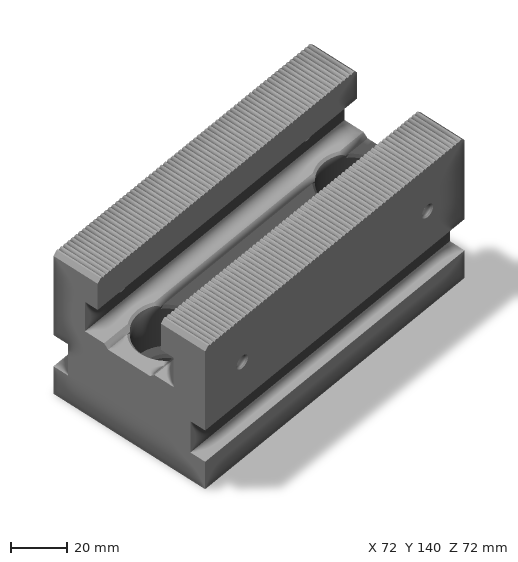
import cadquery as cq

length = 140.0
width = 72.0
height = 72.0

side_groove_depth = 7.0
side_groove_bottom = 14.0
side_groove_top = 30.0

slot_mouth_width = 30.0
slot_wide_width = 42.0
slot_floor = 42.0
slot_lip = 57.0
relief_depth = 2.0
relief_floor_width = 20.0
relief_floor = slot_floor - relief_depth

pitch_count = 70
pitch = length / pitch_count
serration_depth = 0.65
serration_half_width = serration_depth
end_bevel = pitch / 2 + serration_half_width

hole_spacing = 100.0
hole_places = (-hole_spacing / 2, hole_spacing / 2)
bolt_diameter = 16.0
counterbore_diameter = 26.0
counterbore_depth = 20.0
counterbore_floor = relief_floor - counterbore_depth
bolt_chamfer = 1.0
cross_diameter = 5.0
cross_chamfer = 0.5
cross_height = (slot_floor + slot_lip) / 2


def block_profile():
    """Closed XZ outline, extruded along the full length."""
    side = width / 2
    groove = side - side_groove_depth
    relief = relief_floor_width / 2
    right_half = [
        (side, 0),
        (side, side_groove_bottom),
        (groove, side_groove_bottom),
        (groove, side_groove_top),
        (side, side_groove_top),
        (side, height),
        (slot_mouth_width / 2, height),
        (slot_mouth_width / 2, slot_lip),
        (slot_wide_width / 2, slot_lip),
        (slot_wide_width / 2, slot_floor),
        (relief + relief_depth, slot_floor),
        (relief, relief_floor),
    ]
    left_half = [(-x, z) for x, z in reversed(right_half)]
    profile = cq.Workplane("XZ").polyline(right_half + left_half).close()
    return profile.extrude(length / 2, both=True)


def serration_envelope():
    """Block whose top carries the V serrations and the two end bevels."""
    half = length / 2
    outline = [
        (-half, 0),
        (-half, height - end_bevel),
        (-half + end_bevel, height),
    ]
    for groove in range(1, pitch_count - 1):
        valley = -half + (groove + 0.5) * pitch
        outline += [
            (valley - serration_half_width, height),
            (valley, height - serration_depth),
            (valley + serration_half_width, height),
        ]
    outline += [
        (half - end_bevel, height),
        (half, height - end_bevel),
        (half, 0),
    ]
    return cq.Workplane("YZ").polyline(outline).close().extrude(width / 2, both=True)


def countersink(diameter, chamfer, rim_height, y):
    """Upward-opening cone that chamfers a vertical hole rim by equal legs."""
    rim_radius = diameter / 2 + chamfer
    base = cq.Vector(0, y, rim_height - chamfer)
    cone = cq.Solid.makeCone(diameter / 2, rim_radius, chamfer, base)
    return cq.Workplane(cone)


def bolt_hole(y):
    """Through hole and counterbore, chamfered where they meet each floor level."""
    through = cq.Workplane().center(0, y).circle(bolt_diameter / 2).extrude(height)
    counterbore = (
        cq.Workplane(origin=(0, y, counterbore_floor))
        .circle(counterbore_diameter / 2)
        .extrude(slot_lip - counterbore_floor)
    )
    relief_strip = cq.Workplane(origin=(0, 0, height / 2)).box(relief_floor_width, length, height)
    relief_rim = countersink(counterbore_diameter, bolt_chamfer, relief_floor, y).intersect(relief_strip)
    slot_rim = countersink(counterbore_diameter, bolt_chamfer, slot_floor, y)
    through_rim = countersink(bolt_diameter, bolt_chamfer, counterbore_floor, y)
    return through.union(counterbore).union(relief_rim).union(slot_rim).union(through_rim)


def cross_hole(y):
    """Hole along X through both flanges, chamfered at the outer faces."""
    hole = cq.Workplane("YZ").center(y, cross_height).circle(cross_diameter / 2).extrude(width / 2, both=True)
    for side in (-1, 1):
        rim = cq.Solid.makeCone(
            cross_diameter / 2 + cross_chamfer,
            cross_diameter / 2,
            cross_chamfer,
            cq.Vector(side * width / 2, y, cross_height),
            cq.Vector(-side, 0, 0),
        )
        hole = hole.union(cq.Workplane(rim))
    return hole


result = block_profile().intersect(serration_envelope())
for place in hole_places:
    result = result.cut(bolt_hole(place)).cut(cross_hole(place))